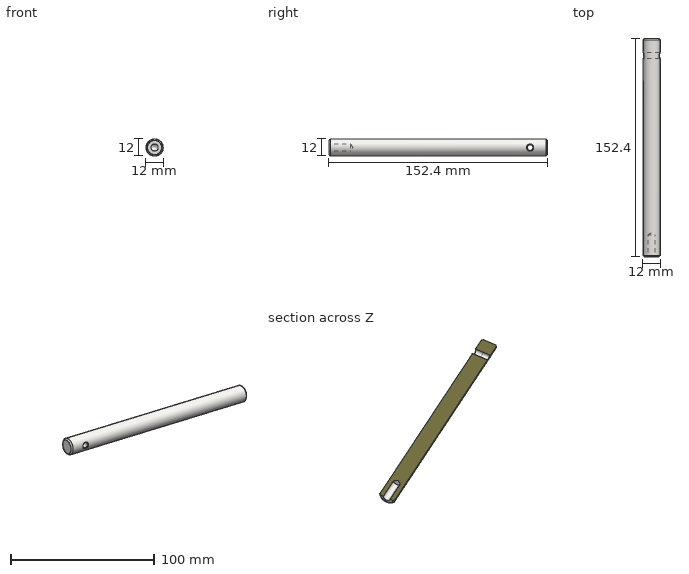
import cadquery as cq
import math

length = 152.4
diameter = 12.0
end_chamfer = 1.0

bore_diameter = 5.0
bore_depth = 15.2
drill_point_angle = 118.0

cross_diameter = 4.0
rim_chamfer = 0.5
cross_from_end = 12.0


def make_shaft():
    shaft = cq.Workplane("XZ").circle(diameter / 2).extrude(length)
    shaft = shaft.translate((0, length / 2, 0))
    return shaft.faces("<Y or >Y").chamfer(end_chamfer)


def make_bore():
    """Cylinder with a conical tip, revolved about the shaft axis."""
    radius = bore_diameter / 2
    tip_length = radius / math.tan(math.radians(drill_point_angle / 2))
    mouth = -length / 2
    shoulder = mouth + bore_depth
    profile = (
        cq.Workplane("XY")
        .moveTo(0, mouth)
        .lineTo(radius, mouth)
        .lineTo(radius, shoulder)
        .lineTo(0, shoulder + tip_length)
        .close()
    )
    return profile.revolve(360, (0, 0), (0, 1))


def add_cross_hole(body):
    """Drill through along X, then chamfer the saddle-shaped rim on each side."""
    hole_y = length / 2 - cross_from_end
    drill = (
        cq.Workplane("YZ")
        .center(hole_y, 0)
        .circle(cross_diameter / 2)
        .extrude(diameter, both=True)
    )
    drilled = body.cut(drill)
    half_box = cross_diameter
    for side in (-1, 1):
        mouth_x = side * diameter / 2
        rim_selector = cq.selectors.BoxSelector(
            (mouth_x - half_box, hole_y - half_box, -half_box),
            (mouth_x + half_box, hole_y + half_box, half_box),
        )
        drilled = drilled.edges(rim_selector).chamfer(rim_chamfer)
    return drilled


result = add_cross_hole(make_shaft().cut(make_bore()))